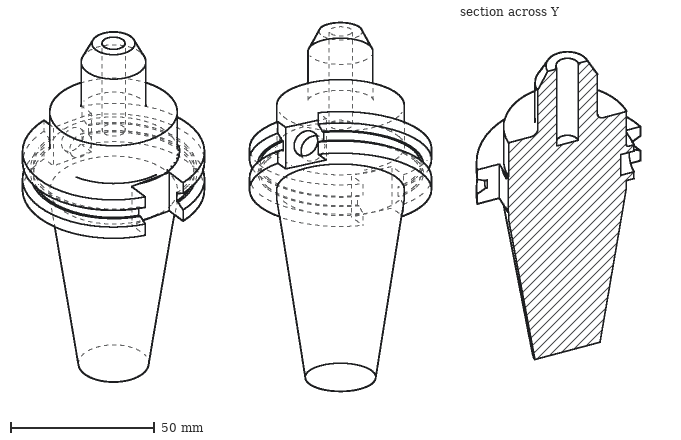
import cadquery as cq

total_height = 131.8
taper_height = 68.2
flange_bottom = 71.4
flange_thickness = 15.8
head_top = 103.5
nose_height = 7.6
flange_top = flange_bottom + flange_thickness
nose_bottom = total_height - nose_height

taper_ratio = 7 / 24
shank_radius = 22.3
taper_end_radius = shank_radius - taper_height * taper_ratio / 2

flange_radius = 31.8
groove_radius = 28.0
groove_center = 79.5
groove_floor_width = 3.5
groove_ledge_radius = 28.9
groove_mouth_width = 6.9

head_radius = 22.3
head_foot_fillet = 0.8

neck_radius = 11.3
neck_root_fillet = 2.4
nose_tip_radius = 7.5

bore_diameter = 8.0
bore_depth = 35.6

slot_width = 16.1
left_slot_floor = 25.0
right_slot_floor = 22.4

slot_hole_diameter = 9.4
slot_hole_depth = 5.0


def turned_body():
    """Revolve the half profile of the holder about Z."""
    groove_floor_half = groove_floor_width / 2
    groove_mouth_half = groove_mouth_width / 2
    profile = (
        cq.Workplane("XZ")
        .lineTo(taper_end_radius, 0)
        .lineTo(shank_radius, taper_height)
        .lineTo(shank_radius, flange_bottom)
        .lineTo(flange_radius, flange_bottom)
        .lineTo(flange_radius, groove_center - groove_mouth_half)
        .lineTo(groove_ledge_radius, groove_center - groove_floor_half)
        .lineTo(groove_radius, groove_center - groove_floor_half)
        .lineTo(groove_radius, groove_center + groove_floor_half)
        .lineTo(groove_ledge_radius, groove_center + groove_floor_half)
        .lineTo(flange_radius, groove_center + groove_mouth_half)
        .lineTo(flange_radius, flange_top)
        .lineTo(head_radius + head_foot_fillet, flange_top)
        .radiusArc((head_radius, flange_top + head_foot_fillet), head_foot_fillet)
        .lineTo(head_radius, head_top)
        .lineTo(neck_radius + neck_root_fillet, head_top)
        .radiusArc((neck_radius, head_top + neck_root_fillet), neck_root_fillet)
        .lineTo(neck_radius, nose_bottom)
        .lineTo(nose_tip_radius, total_height)
        .lineTo(0, total_height)
        .close()
    )
    return profile.revolve(360, (0, 0, 0), (0, 1, 0))


def tool_bore():
    """Blind bore running down from the nose."""
    return (
        cq.Workplane("XY")
        .workplane(offset=total_height - bore_depth)
        .circle(bore_diameter / 2)
        .extrude(bore_depth)
    )


def drive_slot(side, floor):
    """Slot through the full flange thickness; side is -1 for -X and +1 for +X."""
    depth = flange_radius - floor
    return (
        cq.Workplane("XY")
        .workplane(offset=flange_bottom)
        .center(side * (floor + depth / 2), 0)
        .rect(depth, slot_width)
        .extrude(flange_thickness)
    )


def slot_hole():
    """Blind hole running inward from the -X slot floor, level with the groove."""
    return (
        cq.Workplane("YZ", origin=(-left_slot_floor, 0, groove_center))
        .circle(slot_hole_diameter / 2)
        .extrude(slot_hole_depth)
    )


result = (
    turned_body()
    .cut(tool_bore())
    .cut(drive_slot(-1, left_slot_floor))
    .cut(drive_slot(1, right_slot_floor))
    .cut(slot_hole())
)